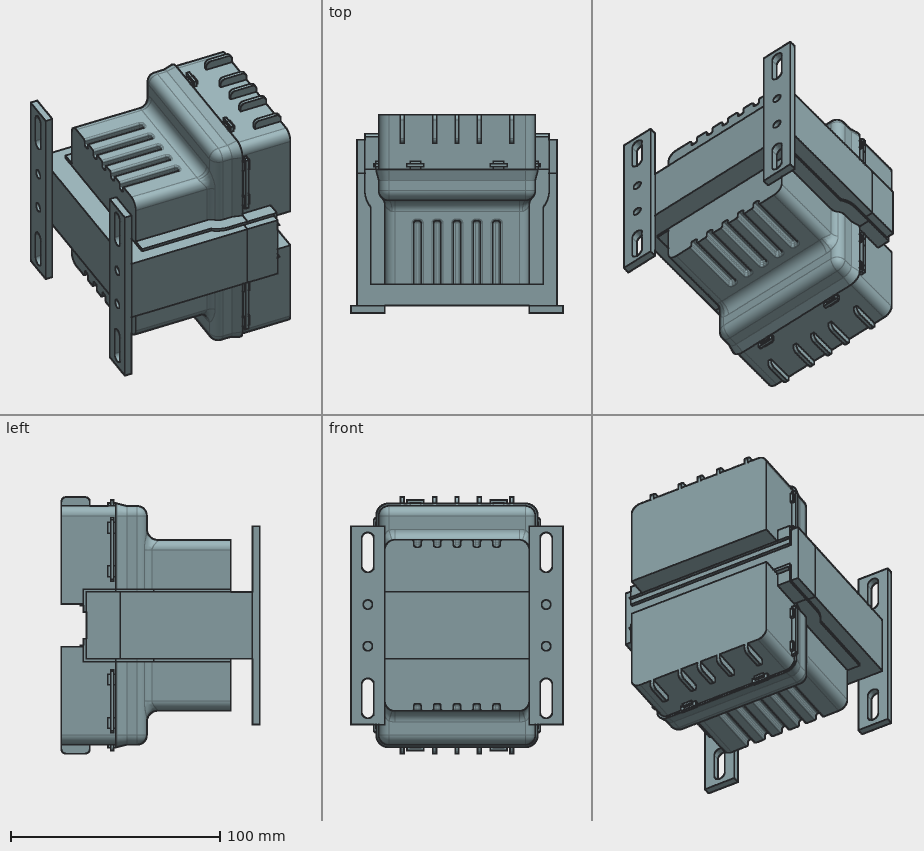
import cadquery as cq
import math


foot_span = 101.6
foot_width = 16.3
foot_thickness = 3.6
foot_length = 95.0
slot_length = 18.9
slot_width = 5.8
slot_offset = 34.9
screw_diameter = 4.4
screw_offset = 10.0

core_width = 95.9
core_thickness = 32.1
e_core_depth = 63.3
i_core_depth = 16.1
core_face = core_thickness / 2
core_joint = foot_thickness + e_core_depth
core_back = core_joint + i_core_depth

shell_width = 75.0
shell_height = 114.3
corner_radius = 4.8
parting = 68.8
flange_width = 88.2
flange_thickness = 1.4
flange_face = core_face + flange_thickness

cover_front = 13.9
shoulder = 54.0
coil_width = 69.1
coil_height = 81.9
blend_radius = 5.2
junction_margin = 0.6
flare = 1.2
flare_start = 63.7
flare_end = 68.5
narrow_flange_width = 82.6
flange_curve_start = 58.7
flange_curve_end = 50.8

groove_count = 5
groove_pitch = 9.5
groove_width = 3.5
groove_depth = 3.5
groove_end = 44.1
groove_radius = 1.0

housing_back = 95.0
housing_bottom = 10.2
lip_thickness = 1.5
lip_bottom = 6.4
lip_back = core_back + lip_thickness
bead_reach = 1.5
bead_bottom = 9.5

root_depth = 0.6
overall_height = 122.9
barrier_positions = (-26.2, -10.7, 0, 10.7, 26.2)
barrier_thickness = 1.8
barrier_length = 13.8
barrier_radius = 2.5

clip_reach = 1.5
clip_depth = 3.8
bar_front = parting + 1.1
bar_depth = 1.5
top_latch_offset = 19.9
top_clip_width = 5.0
top_bar_width = 8.2
top_bar_reach = 2.8
side_bar_low = 21.1
side_bar_high = 51.4
side_bar_reach = 2.5
side_bar_chamfer = 0.9
side_clip_width = 5.2
side_clip_heights = (25.9, 46.7)


def block(x_range, y_range, z_range):
    """Box given by its limits along each axis."""
    limits = (x_range, y_range, z_range)
    size = [high - low for low, high in limits]
    return cq.Workplane("XY").box(*size, centered=False).translate([low for low, high in limits])


def centered_block(width, y_range, z_range):
    """Box that is centred on X = 0."""
    return block((-width / 2, width / 2), y_range, z_range)


def on_side(body, side):
    """The body itself for side +1, its mirror image below the core for side -1."""
    return body if side > 0 else body.mirror("XY")


def make_foot(side):
    """Flat mounting strip with two slots and two screw holes."""
    center = side * (foot_span - foot_width) / 2
    face = cq.Workplane("XZ").center(center, 0)
    foot = face.rect(foot_width, foot_length).extrude(-foot_thickness)
    slots = (
        face.pushPoints([(0, -slot_offset), (0, slot_offset)])
        .slot2D(slot_length, slot_width, 90)
        .extrude(-foot_thickness)
    )
    screw_holes = (
        face.pushPoints([(0, -screw_offset), (0, screw_offset)])
        .circle(screw_diameter / 2)
        .extrude(-foot_thickness)
    )
    return foot.cut(slots).cut(screw_holes)


def make_core_part(front, back):
    """Lamination stack between two depths."""
    return centered_block(core_width, (front, back), (-core_face, core_face))


def cut_grooves(coil):
    """Cut the vent grooves, open at the front, and round their rims."""
    top = coil_height / 2
    for index in range(groove_count):
        center = (index - (groove_count - 1) / 2) * groove_pitch
        cutter = (
            block(
                (center - groove_width / 2, center + groove_width / 2),
                (cover_front, groove_end),
                (top - groove_depth, top + groove_depth),
            )
            .edges("|Z and >Y").fillet(groove_radius)
            .faces("<Z").edges("not <Y").fillet(groove_radius)
        )
        coil = coil.cut(cutter)
    rim_area = cq.selectors.BoxSelector(
        (-coil_width / 2 + 2 * corner_radius, cover_front + groove_radius, top - groove_radius / 2),
        (coil_width / 2 - 2 * corner_radius, groove_end + groove_radius, top + groove_radius / 2),
    )
    return coil.edges(rim_area).fillet(groove_radius)


def make_cover_flange():
    """Flange on the core that widens behind the coil with a rounded shoulder."""
    narrow = narrow_flange_width / 2
    wide = flange_width / 2
    run = flange_curve_start - flange_curve_end
    step = wide - narrow
    radius = (run**2 + step**2) / (2 * step)
    half_angle = math.asin(run / radius) / 2
    arc_x = wide - radius * (1 - math.cos(half_angle))
    arc_y = flange_curve_start - radius * math.sin(half_angle)
    return (
        cq.Workplane("XY", origin=(0, 0, core_face))
        .moveTo(-narrow, cover_front)
        .lineTo(narrow, cover_front)
        .lineTo(narrow, flange_curve_end)
        .threePointArc((arc_x, arc_y), (wide, flange_curve_start))
        .lineTo(wide, parting)
        .lineTo(-wide, parting)
        .lineTo(-wide, flange_curve_start)
        .threePointArc((-arc_x, arc_y), (-narrow, flange_curve_end))
        .close()
        .extrude(flange_thickness)
    )


def make_flare():
    """Rim that widens evenly towards the housing and ends in a short straight band."""
    taper = math.degrees(math.atan(flare / (flare_end - flare_start)))
    sloped = (
        cq.Workplane("XZ", origin=(0, flare_start, 0))
        .sketch().rect(shell_width, shell_height).vertices().fillet(corner_radius).finalize()
        .extrude(-(flare_end - flare_start), taper=-taper)
    )
    band = sloped.faces(">Y").wires().toPending().workplane().extrude(parting - flare_end)
    return sloped.union(band)


def make_cover(side):
    """Cover built as if it ran through the core, then cut off at the core face."""
    above_core = block(
        (-core_width, core_width), (0, housing_back), (core_face, overall_height)
    )
    wide = centered_block(shell_width, (shoulder, parting), (-shell_height / 2, shell_height / 2))
    wide = wide.edges("|Y").fillet(corner_radius).faces("<Y").edges().fillet(corner_radius)
    coil = centered_block(
        coil_width, (cover_front, flare_start), (-coil_height / 2, coil_height / 2)
    )
    coil = cut_grooves(coil.edges("|Y").fillet(corner_radius))
    junction = cq.selectors.BoxSelector(
        (-coil_width / 2 - junction_margin, shoulder - junction_margin, -coil_height / 2 - junction_margin),
        (coil_width / 2 + junction_margin, shoulder + junction_margin, coil_height / 2 + junction_margin),
    )
    cover = wide.union(coil).edges(junction).fillet(blend_radius)
    cover = cover.union(make_flare()).intersect(above_core).union(make_cover_flange())
    return on_side(cover, side)


def make_barriers():
    """Rounded walls between the terminals."""
    barriers = cq.Workplane("XY")
    for position in barrier_positions:
        wall = centered_block(
            barrier_thickness,
            (housing_back - barrier_length, housing_back),
            (shell_height / 2 - root_depth, overall_height / 2),
        )
        wall = wall.faces(">Z").edges("|X").fillet(barrier_radius)
        barriers = barriers.union(wall.translate((position, 0, 0)))
    return barriers


def make_top_latch(position):
    """Latch on the outer face: a short bar across one clip."""
    face = shell_height / 2
    clip = centered_block(
        top_clip_width, (parting, parting + clip_depth), (face - root_depth, face + clip_reach)
    )
    bar = centered_block(
        top_bar_width, (bar_front, bar_front + bar_depth), (face - root_depth, face + top_bar_reach)
    )
    return clip.union(bar).translate((position, 0, 0))


def make_side_latch():
    """Latch on the +X side: one long bar through two clips."""
    face = shell_width / 2
    latch = block(
        (face - root_depth, face + side_bar_reach),
        (bar_front, bar_front + bar_depth),
        (side_bar_low, side_bar_high),
    )
    latch = latch.faces(">X").edges("|Y").chamfer(side_bar_chamfer)
    for height in side_clip_heights:
        clip = block(
            (face - root_depth, face + clip_reach),
            (parting, parting + clip_depth),
            (height - side_clip_width / 2, height + side_clip_width / 2),
        )
        latch = latch.union(clip)
    return latch


def make_housing_flange():
    """Flange over the core with a lip and a sloped bead behind it."""
    return (
        cq.Workplane("YZ")
        .moveTo(parting, core_face)
        .lineTo(core_back, core_face)
        .lineTo(core_back, lip_bottom)
        .lineTo(lip_back, lip_bottom)
        .lineTo(lip_back, bead_bottom)
        .lineTo(lip_back + bead_reach, bead_bottom)
        .lineTo(lip_back, housing_bottom)
        .lineTo(lip_back, flange_face)
        .lineTo(parting, flange_face)
        .close()
        .extrude(flange_width / 2, both=True)
    )


def make_housing(side):
    """Terminal housing with its flange, barriers and latches."""
    shell = centered_block(
        shell_width, (parting, housing_back), (housing_bottom, shell_height / 2)
    )
    shell = shell.faces(">Z").edges("|Y").fillet(corner_radius)
    core_space = centered_block(flange_width, (parting, core_back), (0, core_face))
    housing = shell.cut(core_space).union(make_housing_flange()).union(make_barriers())
    for position in (-top_latch_offset, top_latch_offset):
        housing = housing.union(make_top_latch(position))
    side_latch = make_side_latch()
    housing = housing.union(side_latch).union(side_latch.mirror("YZ"))
    return on_side(housing, side)


sides = (-1, 1)
e_core = make_core_part(foot_thickness, core_joint)
i_core = make_core_part(core_joint, core_back)
feet = [make_foot(side) for side in sides]
covers = [make_cover(side) for side in sides]
housings = [make_housing(side) for side in sides]

bodies = [e_core, i_core, *feet, *covers, *housings]
result = cq.Compound.makeCompound([body.solids().val() for body in bodies])